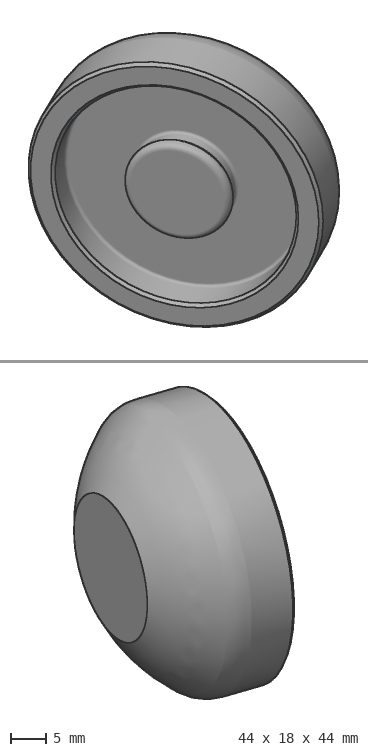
import cadquery as cq
import math

body_radius = 22.0
body_depth = 18.0
edge_break = 0.5
straight_wall_end = 7.1
shoulder_radius = 5.0
shoulder_angle = math.radians(40)
back_face_radius = 11.0

recess_radius = 18.0
recess_depth = 5.0

knob_front = 1.0
knob_radius = 8.0
knob_bead_radius = 1.0
neck_radius = 7.5


def arc_point(center, radius, angle):
    """Point on an arc in the (radius, Y) plane; the angle runs from outward toward +Y."""
    return (center[0] + radius * math.cos(angle), center[1] + radius * math.sin(angle))


def make_profile():
    """Half section in the XY plane, from the knob center around to the back center."""
    bead_center = (knob_radius - knob_bead_radius, knob_front + knob_bead_radius)
    bead_end_angle = math.acos((neck_radius - bead_center[0]) / knob_bead_radius)
    neck_fillet_center = (neck_radius + edge_break, recess_depth - edge_break)
    wall_fillet_center = (recess_radius - edge_break, recess_depth - edge_break)
    shoulder_center = (body_radius - shoulder_radius, straight_wall_end)

    return (
        cq.Workplane("XY")
        .moveTo(0, knob_front)
        .lineTo(bead_center[0], knob_front)
        .threePointArc(
            arc_point(bead_center, knob_bead_radius, 0),
            arc_point(bead_center, knob_bead_radius, bead_end_angle),
        )
        .lineTo(neck_radius, neck_fillet_center[1])
        .threePointArc(
            arc_point(neck_fillet_center, edge_break, math.radians(135)),
            (neck_fillet_center[0], recess_depth),
        )
        .lineTo(wall_fillet_center[0], recess_depth)
        .threePointArc(
            arc_point(wall_fillet_center, edge_break, math.radians(45)),
            (recess_radius, wall_fillet_center[1]),
        )
        .lineTo(recess_radius, edge_break)
        .lineTo(recess_radius + edge_break, 0)
        .lineTo(body_radius - edge_break, 0)
        .lineTo(body_radius, edge_break)
        .lineTo(body_radius, straight_wall_end)
        .threePointArc(
            arc_point(shoulder_center, shoulder_radius, shoulder_angle / 2),
            arc_point(shoulder_center, shoulder_radius, shoulder_angle),
        )
        .tangentArcPoint((back_face_radius, body_depth), relative=False)
        .lineTo(0, body_depth)
        .close()
    )


result = make_profile().revolve(360, (0, 0, 0), (0, 1, 0))